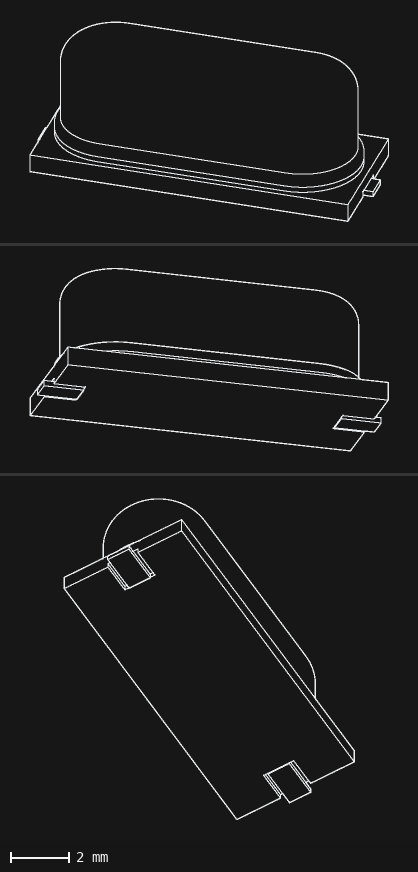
import cadquery as cq


overall_length = 12.0
lead_width = 0.85
lead_thickness = 0.2
lead_length = 1.42

plate_length = 11.4
plate_width = 4.7
plate_bottom = 0.04
plate_top = 0.7

notch_width = 1.2
notch_top = 0.24
notch_inner_x = overall_length / 2 - lead_length
notch_depth = plate_length / 2 - notch_inner_x

can_length = 10.5
can_width = 3.8
can_top = 4.3
can_top_radius = 0.8
end_centre_distance = can_length - can_width

flange_overhang = 0.2
flange_width = can_width + 2 * flange_overhang
flange_thickness = 0.4
header_thickness = 0.2
header_top = plate_top + header_thickness
flange_top = header_top + flange_thickness


def rounded_bar(width, bottom, top):
    """Upright bar with fully rounded ends about the shared end centres."""
    return (
        cq.Workplane("XY", origin=(0, 0, bottom))
        .slot2D(end_centre_distance + width, width)
        .extrude(top - bottom)
    )


def make_plate():
    plate = (
        cq.Workplane("XY", origin=(0, 0, plate_bottom))
        .box(plate_length, plate_width, plate_top - plate_bottom, centered=(True, True, False))
    )
    for side in (-1, 1):
        notch = (
            cq.Workplane("XY", origin=(side * (notch_inner_x + notch_depth / 2), 0, plate_bottom))
            .box(notch_depth, notch_width, notch_top - plate_bottom, centered=(True, True, False))
        )
        plate = plate.cut(notch)
    return plate


def make_header():
    return rounded_bar(flange_width, plate_top, header_top)


def make_can():
    flange = rounded_bar(flange_width, header_top, flange_top).faces(">Z").edges().fillet(flange_overhang)
    shell = rounded_bar(can_width, header_top, can_top).faces(">Z").edges().fillet(can_top_radius)
    return flange.union(shell)


def make_lead(side):
    """Flat lead on the -X (side = -1) or +X (side = 1) end."""
    return (
        cq.Workplane("XY", origin=(side * (overall_length - lead_length) / 2, 0, 0))
        .box(lead_length, lead_width, lead_thickness, centered=(True, True, False))
    )


plate = make_plate()
header = make_header()
can = make_can()
leads = [make_lead(side) for side in (-1, 1)]

result = cq.Compound.makeCompound(
    [plate.val(), header.val(), can.val(), *[lead.val() for lead in leads]]
)